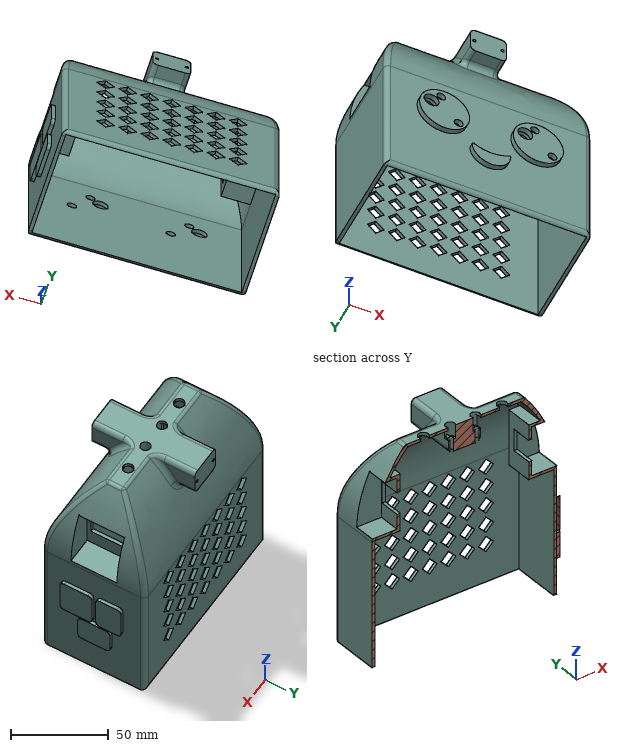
import cadquery as cq
body_width = 116.9
body_depth = 62.0
body_height = 129.0
spring_height = 76.9
ridge_length = 75.6
ridge_width = 10.6
edge_radius = 3.0
wall = 2.0
relief_height = 3.0

shoulder_rise = 29.7
front_shoulder_inset = 6.5
side_shoulder_inset = 8.4

front_y = -body_depth / 2
right_x = body_width / 2

bar_width = 20.4
bar_height = 16.0
wire_hole_diameter = 1.7
wire_hole_drop = 8.3

screw_spacing = 16.0
screw_hole_diameter = 3.6
counterbore_diameter = 5.5
counterbore_depth = 8.3
ridge_hole_spacing = 49.8
ridge_hole_diameter = 5.9

pocket_bottom = 79.2
left_pocket_top = 110.3
right_pocket_top = 108.9
left_pocket_width = 24.0
right_pocket_width = 27.6
pocket_depth = 15.7
window_width = 23.0
window_bottom = 88.2
window_top = 101.4
window_start_x = right_x - pocket_depth
window_end_x = window_start_x - wall
side_pockets = [
    (-1, left_pocket_width, left_pocket_top),
    (1, right_pocket_width, right_pocket_top),
]

face_centre_x = 0.3
eye_spacing = 53.1
eye_height = 54.0
eye_radius = 14.2
eye_positions = (face_centre_x - eye_spacing / 2, face_centre_x + eye_spacing / 2)
eye_holes = [(-7.4, 4.0, 8.3), (-1.9, 9.3, 4.8), (8.0, -6.6, 4.9)]
mouth_top = 36.4
mouth_half_width = 10.8
mouth_depth = 12.1
mouth_dip = 3.4
mouth_corner_radius = 0.8

vent_pitch = 11.9
vent_diagonal = 9.3
vent_columns = 7
vent_rows = 5
top_vent_height = 70.8

plate_thickness = 2.0
plate_corner_radius = 2.6
upper_plate_bottom = 38.8
upper_plate_height = 21.2
rear_plate_width = 15.2
front_plate_width = 19.4
plate_gap = 2.2
upper_plates_rear_y = 17.5
lower_plate_bottom = 22.0
lower_plate_height = 15.9
lower_plate_width = 19.4


def arched_outline(plane, origin, full_width, shoulder_inset, top_width, inset):
    """Box outline under a curved roof; the inset moves its sides and its top inwards."""
    side = full_width / 2 - inset
    shoulder_x = side - shoulder_inset
    shoulder_z = spring_height + shoulder_rise
    top_x = top_width / 2 - inset
    top_z = body_height - inset
    return (
        cq.Workplane(plane, origin=origin)
        .moveTo(-side, 0)
        .lineTo(side, 0)
        .lineTo(side, spring_height)
        .spline(
            [(shoulder_x, shoulder_z), (top_x, top_z)],
            tangents=[(0, 1), None, None],
            includeCurrent=True,
        )
        .lineTo(-top_x, top_z)
        .spline(
            [(-shoulder_x, shoulder_z), (-side, spring_height)],
            tangents=[None, None, (0, -1)],
            includeCurrent=True,
        )
        .close()
    )


def roofed_block(inset):
    """Block with a roof curved in both directions."""
    front = arched_outline(
        "XZ", (0, body_depth / 2, 0), body_width, front_shoulder_inset, ridge_length, inset
    ).extrude(body_depth)
    side = arched_outline(
        "YZ", (-body_width / 2, 0, 0), body_depth, side_shoulder_inset, ridge_width, inset
    ).extrude(body_width)
    return front.intersect(side)


def handle_bar():
    """Bar with rounded lower edges; its upper edges are rounded together with the ridge."""
    return (
        cq.Workplane("XY")
        .box(bar_width, body_depth, bar_height)
        .translate((0, 0, body_height - bar_height / 2))
        .edges("|Y")
        .edges("<Z")
        .fillet(edge_radius)
    )


def bar_joint_edges(shape):
    """Edges where the bar grows out of the roof: all those in the zone that do not run along the bar."""
    zone = cq.selectors.BoxSelector(
        (-bar_width, -body_depth / 2 + edge_radius, spring_height),
        (bar_width, body_depth / 2 - edge_radius, body_height - edge_radius / 2),
    )
    return shape.edges(zone).edges("not |Y")


def outer_edges(shape):
    """Bottom, corner, hip and top edges, without the bar's end faces and the long spring lines."""
    ridge_end_x = ridge_length / 2 - edge_radius
    zone_half_y = body_depth / 2 + edge_radius
    bottom = cq.selectors.StringSyntaxSelector("|X and <Z")
    top = cq.selectors.BoxSelector(
        (-body_width, -body_depth / 2 + edge_radius, body_height - edge_radius / 2),
        (body_width, body_depth / 2 - edge_radius, body_height + edge_radius),
    )
    left, right = (
        cq.selectors.BoxSelector(
            (min(sign * ridge_end_x, sign * body_width), -zone_half_y, edge_radius),
            (max(sign * ridge_end_x, sign * body_width), zone_half_y, body_height + edge_radius),
        )
        for sign in (-1, 1)
    )
    return shape.edges(bottom + top + left + right)


def outer_shape():
    """Roofed block and handle bar in one piece, with all outer edges rounded."""
    shape = roofed_block(0).union(handle_bar())
    shape = bar_joint_edges(shape).fillet(edge_radius)
    return outer_edges(shape).fillet(edge_radius)


def box_from(x_range, y_width, z_range):
    """Box centred on the XZ plane, between the given x and z limits."""
    x_low, x_high = sorted(x_range)
    z_low, z_high = z_range
    return cq.Workplane("XY").box(
        x_high - x_low, y_width, z_high - z_low, centered=(False, True, False)
    ).translate((x_low, 0, z_low))


def cavity():
    """Hollow inside, open at the bottom, leaving the bar solid and walls around the side pockets."""
    space = roofed_block(wall).cut(handle_bar())
    for sign, width, pocket_top in side_pockets:
        pocket_shell = box_from(
            (sign * right_x, sign * window_end_x),
            width + 2 * wall,
            (pocket_bottom - wall, pocket_top + wall),
        )
        space = space.cut(pocket_shell)
    return space


def cut_side_pockets(shape):
    """Recess with a window at its back on each side."""
    for sign, width, pocket_top in side_pockets:
        outside = sign * body_width
        pocket = box_from((outside, sign * window_start_x), width, (pocket_bottom, pocket_top))
        window = box_from((outside, sign * window_end_x), window_width, (window_bottom, window_top))
        shape = shape.cut(pocket).cut(window)
    return shape


def cut_ridge_holes(shape):
    """Two counterbored holes through the bar and two plain holes through the ridge."""
    top = cq.Workplane("XY").workplane(offset=body_height)
    for sign in (-1, 1):
        screw = top.center(sign * screw_spacing / 2, 0)
        shape = shape.cut(screw.circle(screw_hole_diameter / 2).extrude(-2 * bar_height))
        shape = shape.cut(screw.circle(counterbore_diameter / 2).extrude(-counterbore_depth))
        ridge = top.center(sign * ridge_hole_spacing / 2, 0)
        shape = shape.cut(ridge.circle(ridge_hole_diameter / 2).extrude(-2 * bar_height))
    return shape


def wire_holes():
    """Small holes along the whole bar, crossing the screw holes."""
    wire_z = body_height - wire_hole_drop
    return (
        cq.Workplane("XZ")
        .pushPoints([(sign * screw_spacing / 2, wire_z) for sign in (-1, 1)])
        .circle(wire_hole_diameter / 2)
        .extrude(body_depth, both=True)
    )


def vents():
    """Grid of diamond openings through the back wall."""
    centres = [
        ((column - (vent_columns - 1) / 2) * vent_pitch, top_vent_height - row * vent_pitch)
        for column in range(vent_columns)
        for row in range(vent_rows)
    ]
    return (
        cq.Workplane("XZ", origin=(0, body_depth / 2 - 2 * wall, 0))
        .pushPoints(centres)
        .polygon(4, vent_diagonal)
        .extrude(-3 * wall)
    )


def eye_hole_cutters(eye_x):
    """Rods through an eye and the front wall behind it."""
    cutters = cq.Workplane("XZ", origin=(eye_x, front_y - 2 * relief_height, eye_height))
    depth = 2 * relief_height + 2 * wall
    rods = None
    for x, z, diameter in eye_holes:
        rod = cutters.center(x, z).circle(diameter / 2).extrude(-depth)
        rods = rod if rods is None else rods.union(rod)
    return rods


def make_housing():
    """Hollow housing with its handle bar, pockets, holes and vents."""
    shape = outer_shape().cut(cavity())
    shape = cut_side_pockets(shape)
    shape = cut_ridge_holes(shape)
    shape = shape.cut(wire_holes()).cut(vents())
    for eye_x in eye_positions:
        shape = shape.cut(eye_hole_cutters(eye_x))
    return shape


def make_eye(eye_x):
    """Disc on the front face with three holes."""
    disc = (
        cq.Workplane("XZ", origin=(eye_x, front_y, eye_height))
        .circle(eye_radius)
        .extrude(relief_height)
    )
    return disc.cut(eye_hole_cutters(eye_x))


def make_mouth():
    """Smile: round lower lip, hollow upper lip and rounded corners."""
    return (
        cq.Workplane("XZ", origin=(face_centre_x, front_y, mouth_top))
        .moveTo(-mouth_half_width, 0)
        .threePointArc((0, -mouth_depth), (mouth_half_width, 0))
        .threePointArc((0, -mouth_dip), (-mouth_half_width, 0))
        .close()
        .extrude(relief_height)
        .edges("|Y")
        .fillet(mouth_corner_radius)
    )


def make_side_plate(centre_y, bottom, width, height):
    """Rounded plate standing on the right side."""
    return (
        cq.Workplane("YZ", origin=(right_x, centre_y, bottom + height / 2))
        .rect(width, height)
        .extrude(plate_thickness)
        .edges("|X")
        .fillet(plate_corner_radius)
    )


housing = make_housing()
eyes = [make_eye(eye_x) for eye_x in eye_positions]
mouth = make_mouth()

rear_plate_y = upper_plates_rear_y - rear_plate_width / 2
front_plate_y = upper_plates_rear_y - rear_plate_width - plate_gap - front_plate_width / 2
lower_plate_y = upper_plates_rear_y - rear_plate_width - plate_gap / 2
plates = [
    make_side_plate(rear_plate_y, upper_plate_bottom, rear_plate_width, upper_plate_height),
    make_side_plate(front_plate_y, upper_plate_bottom, front_plate_width, upper_plate_height),
    make_side_plate(lower_plate_y, lower_plate_bottom, lower_plate_width, lower_plate_height),
]

result = cq.Compound.makeCompound(
    [housing.val(), *[eye.val() for eye in eyes], mouth.val(), *[plate.val() for plate in plates]]
)